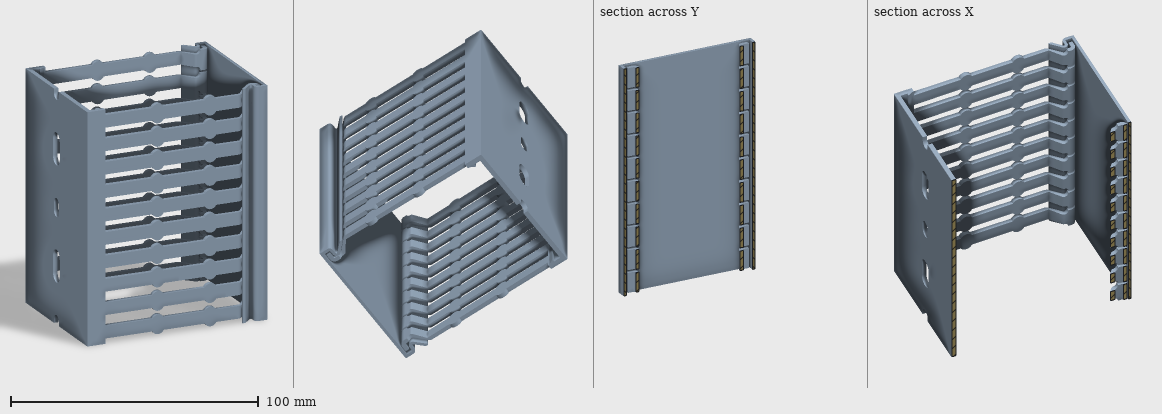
import cadquery as cq
import math

width = 60.0
height = 80.0
length = 100.0

floor_thickness = 2.0
wall_foot_thickness = 2.2
wall_head_thickness = 1.7
barb_bottom = 5.0
barb_top = 7.2
barb_reach = 1.2
shoulder_depth = 12.1
shoulder_radius = 2.4
wall_head_depth = 11.8
neck_inset = 5.4
neck_thickness = 1.7
neck_bend_depth = 7.7
neck_bend_radius = 1.2
hook_top_depth = 1.7
hook_tip_inset = 2.5
hook_inner_radius = 0.6

finger_pitch = 10.0
finger_height = 5.4
slot_bottom = 8.0
hook_gap = 1.2
bulge_gap = 1.6
hook_flare_depth = 5.5
bulge_length = 5.0
bulge_places = (31.4, 54.7)

small_hole_width = 4.8
small_hole_length = 8.0
small_hole_pitch = length / 2
large_hole_width = 6.5
large_hole_length = 14.0
large_hole_offset = length / 4

cover_thickness = 1.3
lip_thickness = 1.2
lip_depth = 5.4
lip_corner_radius = 1.6
lip_bend_radius = 0.5
skirt_depth = 9.9
skirt_end_depth = 11.0


def mirrored(half_corners):
    """Close a left half outline of (inset, depth, radius) corners with its mirror image."""
    left = [(inset - width / 2, height - depth, radius) for inset, depth, radius in half_corners]
    right = [(-x, y, radius) for x, y, radius in reversed(left)]
    return left + right


def rounded_outline(corners):
    """Closed XY outline through (x, y, radius) corners; a radius of 0 keeps a corner sharp."""
    path = None
    count = len(corners)
    for index, (x, y, radius) in enumerate(corners):
        corner = cq.Vector(x, y)
        before = (cq.Vector(*corners[index - 1][:2]) - corner).normalized()
        after = (cq.Vector(*corners[(index + 1) % count][:2]) - corner).normalized()
        half_angle = before.getAngle(after) / 2
        setback = radius / math.tan(half_angle)
        start = corner + before * setback
        path = path.lineTo(start.x, start.y) if path else cq.Workplane("XY").moveTo(start.x, start.y)
        if radius > 0:
            bisector = (before + after).normalized()
            middle = corner + bisector * (radius / math.sin(half_angle) - radius)
            end = corner + after * setback
            path = path.threePointArc((middle.x, middle.y), (end.x, end.y))
    return path.close()


def extrude_profile(half_corners):
    profile = rounded_outline(mirrored(half_corners))
    return profile.extrude(length).translate((0, 0, -length / 2))


def finger_slot(z):
    """Gap between two fingers, cut through both side walls from above the floor to the hooks."""
    half_slot = (finger_pitch - finger_height) / 2
    half_gap = hook_gap / 2
    flare_end = height - hook_flare_depth
    flare_radius = half_slot - half_gap
    flare_start = flare_end - flare_radius
    flare_mid = flare_radius * math.sqrt(0.5)

    half = cq.Workplane("YZ").moveTo(slot_bottom, 0).lineTo(slot_bottom, half_slot)
    for place in bulge_places:
        half = half.lineTo(place - bulge_length / 2, half_slot)
        half = half.threePointArc((place, bulge_gap / 2), (place + bulge_length / 2, half_slot))
    half = half.lineTo(flare_start, half_slot)
    half = half.threePointArc(
        (flare_start + flare_mid, half_gap + flare_mid),
        (flare_end, half_gap),
    )
    half = half.lineTo(height, half_gap).lineTo(height, 0).close()
    upper = half.extrude(width / 2, both=True)
    return upper.union(upper.mirror("XY")).translate((0, 0, z))


def floor_hole(hole_length, hole_width, z):
    hole = cq.Workplane("XZ").center(0, z).slot2D(hole_length, hole_width, 90)
    return hole.extrude(-floor_thickness)


def make_base():
    floor_depth = height - floor_thickness
    neck_inner = neck_inset + neck_thickness
    hook_bottom_depth = hook_top_depth + neck_thickness
    base = extrude_profile([
        (0, height, 0),
        (0, shoulder_depth, shoulder_radius),
        (neck_inset, shoulder_depth - neck_inset, 0),
        (neck_inset, hook_bottom_depth, hook_inner_radius),
        (hook_tip_inset, hook_bottom_depth, 0),
        (hook_tip_inset, hook_top_depth, 0),
        (neck_inner, hook_top_depth, hook_inner_radius + neck_thickness),
        (neck_inner, neck_bend_depth, neck_bend_radius),
        (wall_head_thickness, wall_head_depth, 0),
        (wall_foot_thickness, height - barb_top, 0),
        (wall_foot_thickness + barb_reach, height - barb_bottom, 0),
        (wall_foot_thickness, height - barb_bottom, 0),
        (wall_foot_thickness, floor_depth, 0),
    ])
    slot_count = round(length / finger_pitch) + 1
    for index in range(slot_count):
        base = base.cut(finger_slot(index * finger_pitch - length / 2))
    for side in (-1, 0, 1):
        base = base.cut(floor_hole(small_hole_length, small_hole_width, side * small_hole_pitch))
    for side in (-1, 1):
        base = base.cut(floor_hole(large_hole_length, large_hole_width, side * large_hole_offset))
    return base


def make_cover():
    lip_top_depth = lip_depth - lip_thickness
    skirt_inner_depth = skirt_depth + lip_thickness * math.sqrt(2)
    return extrude_profile([
        (0, 0, 0),
        (0, lip_depth, lip_corner_radius),
        (skirt_depth - lip_depth, lip_depth, lip_bend_radius),
        (0, skirt_depth, 0),
        (0, skirt_end_depth, 0),
        (skirt_inner_depth - skirt_end_depth, skirt_end_depth, 0),
        (skirt_inner_depth - lip_top_depth, lip_top_depth, lip_bend_radius + lip_thickness),
        (cover_thickness, lip_top_depth, lip_corner_radius - cover_thickness),
        (cover_thickness, cover_thickness, 0),
    ])


base = make_base()
cover = make_cover()
result = cq.Compound.makeCompound([base.solids().val(), cover.val()])